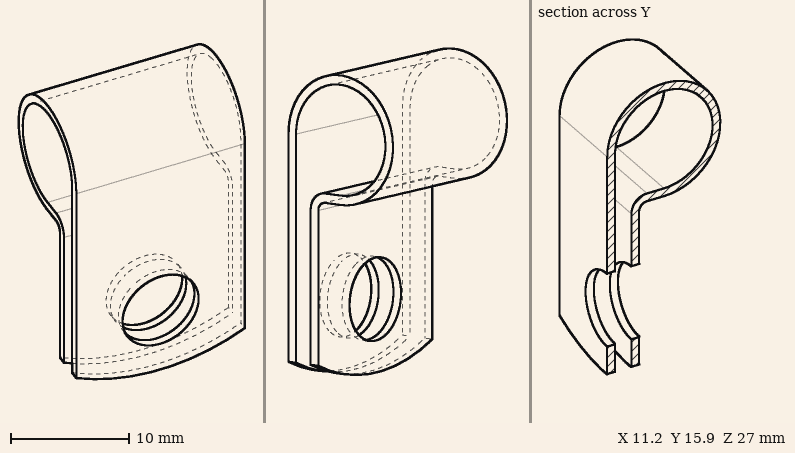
import cadquery as cq
import math

total_height = 27.0
strip_width = 15.87
loop_diameter = 11.15
thickness = 0.8
leg_gap = 1.57
bend_inner_radius = 0.73
hole_diameter = 7.15
hole_height = 6.35
end_arc_rise = 1.75

outer_radius = loop_diameter / 2
inner_radius = outer_radius - thickness
bend_outer_radius = bend_inner_radius + thickness
bottom_z = outer_radius - total_height
half_width = strip_width / 2
long_leg_inside = inner_radius
short_leg_inside = long_leg_inside - leg_gap
short_leg_outside = short_leg_inside - thickness
bend_x = short_leg_inside - bend_outer_radius
bend_z = -inner_radius - bend_outer_radius
diagonal = math.sqrt(0.5)


def make_strip():
    """Folded strip: long leg, three-quarter loop, short flat, bend and short leg."""
    profile = (
        cq.Workplane("XZ")
        .moveTo(outer_radius, bottom_z)
        .lineTo(outer_radius, 0)
        .threePointArc((-outer_radius * diagonal, outer_radius * diagonal), (0, -outer_radius))
        .lineTo(bend_x, -outer_radius)
        .threePointArc(
            (bend_x + bend_inner_radius * diagonal, bend_z + bend_inner_radius * diagonal),
            (short_leg_outside, bend_z),
        )
        .lineTo(short_leg_outside, bottom_z)
        .lineTo(short_leg_inside, bottom_z)
        .lineTo(short_leg_inside, bend_z)
        .threePointArc(
            (bend_x + bend_outer_radius * diagonal, bend_z + bend_outer_radius * diagonal),
            (bend_x, -inner_radius),
        )
        .lineTo(0, -inner_radius)
        .threePointArc((-inner_radius * diagonal, inner_radius * diagonal), (inner_radius, 0))
        .lineTo(long_leg_inside, bottom_z)
        .close()
    )
    return profile.extrude(half_width, both=True)


def make_side_outline():
    """Block with the strip's side outline, rounded along the bottom."""
    corner_z = bottom_z + end_arc_rise
    return (
        cq.Workplane("YZ")
        .moveTo(-half_width, outer_radius)
        .lineTo(-half_width, corner_z)
        .threePointArc((0, bottom_z), (half_width, corner_z))
        .lineTo(half_width, outer_radius)
        .close()
        .extrude(outer_radius, both=True)
    )


def make_screw_hole():
    """Cylinder that passes through both legs."""
    return (
        cq.Workplane("YZ")
        .center(0, bottom_z + hole_height)
        .circle(hole_diameter / 2)
        .extrude(outer_radius, both=True)
    )


result = make_strip().intersect(make_side_outline()).cut(make_screw_hole())